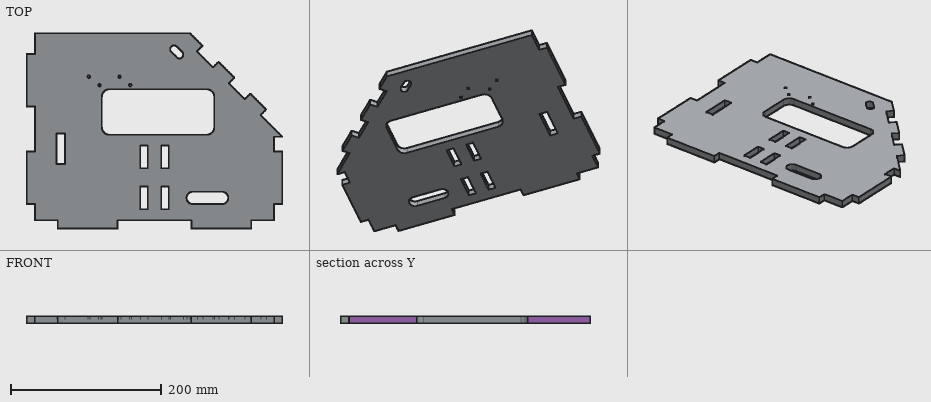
import cadquery as cq
import math

length = 340.0
width = 260.0
thickness = 10.0
tab_depth = 11.0

side_tab_length = 70.0
lower_side_tab_y = 32.5
upper_side_tab_y = 162.2
bottom_tab_length = 80.0
bottom_tab_inset = 41.0

top_edge_end_x = 217.0
diagonal_first_land = 24.0
tooth_length = 30.0
tooth_depth = 10.5
tooth_gaps = 2

window_length = 149.3
window_width = 60.2
window_center = (174.8, 155.0)
window_radius = 10.0

side_slot_size = (11.0, 40.0)
side_slot_center = (45.2, 106.0)
grid_slot_size = (10.0, 30.0)
grid_slot_spacing = (28.0, 54.5)
grid_center = (170.0, 68.0)

long_slot_size = (55.0, 16.0)
long_slot_center = (240.5, 40.8)
angled_slot_size = (20.0, 10.0)
angled_slot_center = (199.5, 235.0)

hole_diameter = 3.0
hole_start = (82.5, 202.0)
hole_pitch = 40.8
hole_row_shift = (14.3, -11.2)

diagonal_step = math.sqrt(0.5)


def diagonal_point(along, inward):
    """Point at a distance along the sloping edge and a depth inside it."""
    return (
        top_edge_end_x + (along - inward) * diagonal_step,
        width - (along + inward) * diagonal_step,
    )


def side_tab_points(edge_x, body_x, start_y):
    """Four corners of one side tab, from bottom to top."""
    end_y = start_y + side_tab_length
    return [(body_x, start_y), (edge_x, start_y), (edge_x, end_y), (body_x, end_y)]


def bottom_tab_points(start_x):
    """Four corners of one bottom tab, from left to right."""
    end_x = start_x + bottom_tab_length
    return [(start_x, tab_depth), (start_x, 0), (end_x, 0), (end_x, tab_depth)]


def sloping_edge_points():
    """Toothed edge from its sharp lower right tip to the top edge."""
    points = [diagonal_point(0, 0)]
    along = diagonal_first_land
    for _ in range(tooth_gaps):
        points.append(diagonal_point(along, 0))
        points.append(diagonal_point(along, tooth_depth))
        along += tooth_length
        points.append(diagonal_point(along, tooth_depth))
        points.append(diagonal_point(along, 0))
        along += tooth_length
    points.append(diagonal_point(along, 0))
    points.append(diagonal_point(along, tooth_depth))
    root_x, root_y = points[-1]
    tip_y = root_y - (length - root_x)
    points.append((length, tip_y))
    points.append((length - tab_depth, tip_y))
    return points[::-1]


def plate():
    """Tabbed outline, counterclockwise from the lower left body corner."""
    right_body_x = length - tab_depth
    left_side = (
        side_tab_points(0, tab_depth, lower_side_tab_y)
        + side_tab_points(0, tab_depth, upper_side_tab_y)
    )
    points = [(tab_depth, tab_depth)]
    points += bottom_tab_points(bottom_tab_inset)
    points += bottom_tab_points(length - bottom_tab_inset - bottom_tab_length)
    points.append((right_body_x, tab_depth))
    points += side_tab_points(length, right_body_x, lower_side_tab_y)
    points += sloping_edge_points()
    points.append((tab_depth, width))
    points += left_side[::-1]
    return cq.Workplane("XY").polyline(points).close().extrude(thickness)


def window():
    block = cq.Workplane("XY").center(*window_center).rect(window_length, window_width)
    return block.extrude(thickness).edges("|Z").fillet(window_radius)


def rectangular_slots():
    side_slot = cq.Workplane("XY").center(*side_slot_center).rect(*side_slot_size).extrude(thickness)
    grid_slots = (
        cq.Workplane("XY")
        .center(*grid_center)
        .rarray(*grid_slot_spacing, 2, 2)
        .rect(*grid_slot_size)
        .extrude(thickness)
    )
    return side_slot.union(grid_slots)


def round_ended_slot(center, size, angle=0):
    return cq.Workplane("XY").center(*center).slot2D(*size, angle).extrude(thickness)


def pin_holes():
    start_x, start_y = hole_start
    centers = []
    for row in range(2):
        for column in range(2):
            x = start_x + row * hole_row_shift[0] + column * hole_pitch
            y = start_y + row * hole_row_shift[1]
            centers.append((x, y))
    return cq.Workplane("XY").pushPoints(centers).circle(hole_diameter / 2).extrude(thickness)


result = (
    plate()
    .cut(window())
    .cut(rectangular_slots())
    .cut(round_ended_slot(long_slot_center, long_slot_size))
    .cut(round_ended_slot(angled_slot_center, angled_slot_size, -45))
    .cut(pin_holes())
)